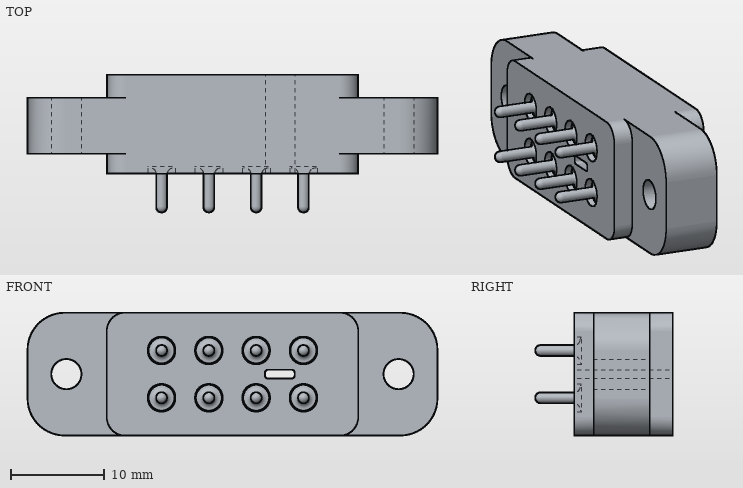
import cadquery as cq
import math

height = 13.2

flange_length = 44.0
flange_thickness = 6.05
flange_corner_radius = 4.0
flange_setback = 2.1
mount_hole_diameter = 3.2
mount_hole_spacing = 35.65

body_length = 26.95
body_depth = 10.6
body_corner_radius = 2.0

columns = 4
rows = 2
column_span = 15.22
pitch = column_span / (columns - 1)
pin_diameter = 1.2
pin_radius = pin_diameter / 2
pin_projection = 4.2
pin_tip_length = 0.55
socket_radius = 1.5
socket_depth = 0.8
pin_flare_radius = 0.6
pin_head_rim_radius = 0.18

slot_length = 3.15
slot_height = 0.92
slot_corner_radius = 0.3
slot_x = pitch


def rounded_block(length, thickness, corner_radius, front_y):
    """Full-height block with its four corners rounded about the Y axis."""
    return (
        cq.Workplane("XY")
        .box(length, thickness, height)
        .edges("|Y")
        .fillet(corner_radius)
        .translate((0, front_y + thickness / 2, 0))
    )


def contact_pin():
    """Pin along Y with a domed tip, flaring into a round-rimmed head on the socket floor."""
    head_y = socket_depth - pin_head_rim_radius
    flare_end_y = head_y - pin_flare_radius
    flare_foot_radius = pin_radius + pin_flare_radius
    head_radius = flare_foot_radius + pin_head_rim_radius
    tip_start_y = pin_tip_length - pin_projection

    quarter_mid_share = 1 - math.sqrt(0.5)
    rim_mid_offset = pin_head_rim_radius * quarter_mid_share
    flare_mid_offset = pin_flare_radius * quarter_mid_share

    dome_radius = (pin_radius ** 2 + pin_tip_length ** 2) / (2 * pin_tip_length)
    dome_mid_x = pin_radius / 2
    dome_mid_y = dome_radius - pin_projection - math.sqrt(dome_radius ** 2 - dome_mid_x ** 2)

    return (
        cq.Workplane("XY")
        .moveTo(0, socket_depth)
        .lineTo(head_radius, socket_depth)
        .threePointArc(
            (head_radius - rim_mid_offset, head_y + rim_mid_offset),
            (flare_foot_radius, head_y),
        )
        .threePointArc(
            (pin_radius + flare_mid_offset, head_y - flare_mid_offset),
            (pin_radius, flare_end_y),
        )
        .lineTo(pin_radius, tip_start_y)
        .threePointArc((dome_mid_x, dome_mid_y), (0, -pin_projection))
        .close()
        .revolve(360, (0, 0, 0), (0, 1, 0))
    )


body = rounded_block(body_length, body_depth, body_corner_radius, 0)
flange = rounded_block(flange_length, flange_thickness, flange_corner_radius, flange_setback)
result = body.union(flange)

mount_holes = (
    cq.Workplane("XZ")
    .rarray(mount_hole_spacing, 0.45, 2, 1)
    .circle(mount_hole_diameter / 2)
    .extrude(-body_depth)
)
result = result.cut(mount_holes)

slot = (
    cq.Workplane("XZ")
    .center(slot_x, 0)
    .rect(slot_length, slot_height)
    .extrude(-body_depth)
    .edges("|Y")
    .fillet(slot_corner_radius)
)
result = result.cut(slot)

sockets = (
    cq.Workplane("XZ")
    .rarray(pitch, pitch, columns, rows)
    .circle(socket_radius)
    .extrude(-socket_depth)
)
result = result.cut(sockets)
for column in range(columns):
    for row in range(rows):
        x = (column - (columns - 1) / 2) * pitch
        z = (row - (rows - 1) / 2) * pitch
        result = result.union(contact_pin().translate((x, 0, z)))